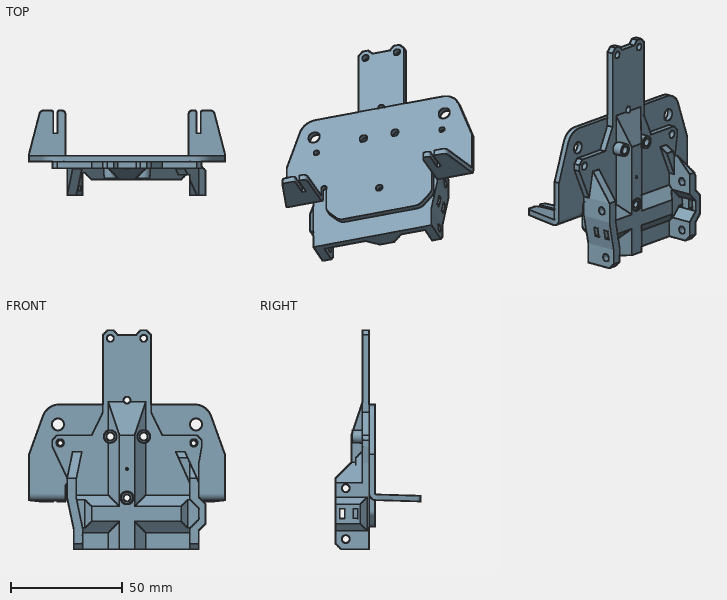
import cadquery as cq
import math


SCREW_X = 7.5
UPPER_SCREW_Z = 50.6
UPPER_SCREWS = [(-SCREW_X, UPPER_SCREW_Z), (SCREW_X, UPPER_SCREW_Z)]
UPPER_SCREW_DIA = 3.5
LOWER_SCREW = (0, 23.1)
LOWER_SCREW_DIA = 3.0

FRAME_T = 3.0
HEIGHT = 98.3
MAST_HALF_W = 10.8
MAST_BASE_Z = 61.4
EAR_CHAMFER = 2.1
EAR_INNER_X = 6.0
MAST_NOTCH_HALF_W = 4.1
MAST_HOLE_DIA = 3.0
MAST_HOLE_Z = 94.6
CENTRE_HOLE_DIA = 2.9
CENTRE_HOLE_Z = 66.9
PEEP_HOLE_DIA = 1.0
PEEP_HOLE_Z = 36.1
LUG_HALF_W = 33.5
LUG_TOP_Z = 51.2
LUG_SIDE_Z = 46.2
LUG_INNER_X = 15.8
LUG_CHAMFER = 2.2
LUG_HOLE = (30.0, 47.8)
LUG_HOLE_DIA = 3.4

RIB_RISE = 5.0
RIB_FRONT_Y = -(FRAME_T + RIB_RISE)
RIB_CREST_W = 6.8
RIB_HALF_CREST = RIB_CREST_W / 2
RIB_HALF_BASE = RIB_HALF_CREST + RIB_RISE
RIB_TOP_Z = 66.1
RIB_RAMP_Z = 51.2
CROSS_Z = 15.9
CROSS_END_DROP = 2.9
CROSS_LEFT_X = -15.9
CROSS_RIGHT_X = 24.3
CROSS_SHELF_Y = RIB_FRONT_Y + CROSS_END_DROP

BOSS_BASE_DIA = 5.9
BOSS_TIP_DIA = 5.6
BOSS_TIP_Y = -7.6
LOWER_SEAT_DIA = 5.2

ARM_T = 4.1
ARM_FRONT_Y = -15.1
ARM_SHOULDER_Z = 31.9
ARM_FOOT_CHAMFER = 2.6
BRACE_TOP_Z = 43.8
ARM_HOLE_DIA = 3.4
ARM_HOLE_Y = -10.5
ARM_HOLE_ZS = (4.6, 27.4)
ARM_SLOT_W = 2.2
ARM_SLOT_H = 4.2
ARM_SLOT_Z = 16.0
ARM_SLOT_YS = (CROSS_SHELF_Y - ARM_SLOT_W / 2, -12.1)

LEFT_UPPER_X = -26.8
LEFT_LOWER_X = -24.0
LEFT_BRACE_X = -24.4
LEFT_CRANK_TOP_Z = 22.8
LEFT_CRANK_BOTTOM_Z = 9.2

RIGHT_OUTER_X = 32.2
RIGHT_INNER_X = RIGHT_OUTER_X - ARM_T
RIGHT_BRACE_X = 25.9
RIGHT_BRACE_FOOT_Z = 30.0
RIGHT_BRACE_FRONT_Y = -6.0
RIGHT_STRAIGHT_Z = 38.8
BULGE_OUT = 3.0
BULGE_BACK_Y = -1.0
BULGE_HALF_H = 4.4
POCKET_HALF_H = 2.5

BRACKET_T = 2.7
BRACKET_W = 88.0
BRACKET_HALF_W = BRACKET_W / 2
BRACKET_TOP_Z = 65.1
BRACKET_TOP_CORNER_X = 35.9
BRACKET_SHOULDER_Z = 42.6
BRACKET_CORNER_R = 8.1
BRACKET_HOLE = (31.0, 56.0)
BRACKET_HOLE_DIA = 5.3
BRACKET_LUG_HOLE = (29.9, 47.7)
BRACKET_LUG_HOLE_DIA = 2.5
SKIRT_HALF_W = 25.1
SKIRT_CHAMFER = 6.0
SKIRT_BOTTOM_Z = 10.1
SKIRT_SIDE_R = 3.3
SKIRT_FOOT_R = 5.2

TAB_INNER_X = 27.5
TAB_END_Y = 23.0
TAB_END_OUTER_X = 38.9
TAB_SIDE_Y = 3.4
TAB_TILT = 1.7
BEND_Z = 25.2
BEND_INNER_R = 0.5
BEND_OUTER_R = BEND_INNER_R + BRACKET_T
TAB_SIDE_R = 4.1
TAB_OUTER_END_R = 2.2
TAB_INNER_END_R = 2.0
TAB_SLOT_X = 32.1
TAB_SLOT_W = 1.8
TAB_SLOT_BASE_Y = 12.8
TAB_SLOT_MOUTH_R = 1.2
RELIEF_TOP_Z = 29.5

OVER = 1.0


def prism_y(points, y_front, y_back):
    """Outline of (X, Z) points extruded from y_front to y_back."""
    return cq.Workplane("XZ", origin=(0, y_back, 0)).polyline(points).close().extrude(y_back - y_front)


def prism_x(points, x_min, x_max):
    """Outline of (Y, Z) points extruded from x_min to x_max."""
    return cq.Workplane("YZ", origin=(x_min, 0, 0)).polyline(points).close().extrude(x_max - x_min)


def prism_z(points, z_min, z_max):
    """Outline of (X, Y) points extruded from z_min to z_max."""
    return cq.Workplane("XY", origin=(0, 0, z_min)).polyline(points).close().extrude(z_max - z_min)


def cylinders_y(centres, diameter, y_front, y_back):
    """Cylinders along Y at (X, Z) centres."""
    plane = cq.Workplane("XZ", origin=(0, y_back, 0))
    return plane.pushPoints(centres).circle(diameter / 2).extrude(y_back - y_front)


def cone_y(centre, back_dia, front_dia, y_front, y_back):
    """Cone along Y at an (X, Z) centre."""
    plane = cq.Workplane("XZ", origin=(0, y_back, 0)).center(*centre)
    return plane.circle(back_dia / 2).workplane(offset=y_back - y_front).circle(front_dia / 2).loft()


def both_sides(point):
    """An (X, Z) point and its mirror image across X = 0."""
    x, z = point
    return [(-x, z), (x, z)]



def frame_plate():
    notch_z = HEIGHT - EAR_CHAMFER
    right_upper = [
        (MAST_NOTCH_HALF_W, notch_z),
        (EAR_INNER_X, HEIGHT),
        (MAST_HALF_W - EAR_CHAMFER, HEIGHT),
        (MAST_HALF_W, notch_z),
        (MAST_HALF_W, MAST_BASE_Z),
        (LUG_INNER_X, LUG_TOP_Z),
        (LUG_HALF_W - LUG_CHAMFER, LUG_TOP_Z),
        (LUG_HALF_W, LUG_TOP_Z - LUG_CHAMFER),
        (LUG_HALF_W, LUG_SIDE_Z),
    ]
    right_lower = [
        (RIGHT_OUTER_X, RIGHT_STRAIGHT_Z),
        (RIGHT_OUTER_X, 0),
    ]
    left_lower = [
        (LEFT_LOWER_X, 0),
        (LEFT_LOWER_X, LEFT_CRANK_BOTTOM_Z),
        (LEFT_UPPER_X, LEFT_CRANK_TOP_Z),
        (LEFT_UPPER_X, ARM_SHOULDER_Z),
    ]
    left_upper = [(-x, z) for x, z in reversed(right_upper)]
    return prism_y(right_upper + right_lower + left_lower + left_upper, -FRAME_T, 0)


def upright_rib():
    section = [
        (-RIB_HALF_BASE, -FRAME_T),
        (-RIB_HALF_CREST, RIB_FRONT_Y),
        (RIB_HALF_CREST, RIB_FRONT_Y),
        (RIB_HALF_BASE, -FRAME_T),
    ]
    side = [
        (-FRAME_T, 0),
        (RIB_FRONT_Y, 0),
        (RIB_FRONT_Y, RIB_RAMP_Z),
        (-FRAME_T, RIB_TOP_Z),
    ]
    rib = prism_z(section, 0, RIB_TOP_Z)
    return rib.intersect(prism_x(side, -RIB_HALF_BASE, RIB_HALF_BASE))


def cross_rib():
    left_end = LEFT_LOWER_X + OVER
    right_end = RIGHT_INNER_X + OVER
    section = [
        (-FRAME_T, CROSS_Z - RIB_HALF_BASE),
        (RIB_FRONT_Y, CROSS_Z - RIB_HALF_CREST),
        (RIB_FRONT_Y, CROSS_Z + RIB_HALF_CREST),
        (-FRAME_T, CROSS_Z + RIB_HALF_BASE),
    ]
    plan = [
        (left_end, -FRAME_T),
        (left_end, CROSS_SHELF_Y),
        (CROSS_LEFT_X - CROSS_END_DROP, CROSS_SHELF_Y),
        (CROSS_LEFT_X, RIB_FRONT_Y),
        (CROSS_RIGHT_X, RIB_FRONT_Y),
        (CROSS_RIGHT_X + CROSS_END_DROP, CROSS_SHELF_Y),
        (right_end, CROSS_SHELF_Y),
        (right_end, -FRAME_T),
    ]
    rib = prism_x(section, left_end, right_end)
    return rib.intersect(prism_z(plan, CROSS_Z - RIB_HALF_BASE, CROSS_Z + RIB_HALF_BASE))


def arm_side_profile(x_min, x_max):
    """Side shape shared by both arms: chamfered foot, straight front, 45 degree top."""
    slope_top_z = ARM_SHOULDER_Z - ARM_FRONT_Y
    profile = [
        (0, 0),
        (ARM_FRONT_Y + ARM_FOOT_CHAMFER, 0),
        (ARM_FRONT_Y, ARM_FOOT_CHAMFER),
        (ARM_FRONT_Y, ARM_SHOULDER_Z),
        (0, slope_top_z),
    ]
    return prism_x(profile, x_min, x_max)


def arm_openings(x_min, x_max):
    """Screw holes and strap slots that cross an arm along X."""
    hole_centres = [(ARM_HOLE_Y, z) for z in ARM_HOLE_ZS]
    slot_centres = [(y, ARM_SLOT_Z) for y in ARM_SLOT_YS]
    openings = cq.Workplane("YZ", origin=(x_min, 0, 0))
    openings = openings.pushPoints(hole_centres).circle(ARM_HOLE_DIA / 2)
    openings = openings.pushPoints(slot_centres).rect(ARM_SLOT_W, ARM_SLOT_H)
    return openings.extrude(x_max - x_min)


def left_arm():
    outer = [
        (LEFT_LOWER_X, 0),
        (LEFT_LOWER_X, LEFT_CRANK_BOTTOM_Z),
        (LEFT_UPPER_X, LEFT_CRANK_TOP_Z),
        (LEFT_UPPER_X, ARM_SHOULDER_Z),
        (LEFT_BRACE_X, BRACE_TOP_Z),
    ]
    inner = [(x + ARM_T, z) for x, z in reversed(outer)]
    x_min = LEFT_UPPER_X - OVER
    x_max = LEFT_LOWER_X + ARM_T + OVER
    arm = prism_y(outer + inner, ARM_FRONT_Y, 0)
    return arm.intersect(arm_side_profile(x_min, x_max)).cut(arm_openings(x_min, x_max))


def right_arm_bulge():
    outer_x = RIGHT_OUTER_X + BULGE_OUT
    root_half_h = BULGE_HALF_H + BULGE_OUT
    front = [
        (RIGHT_INNER_X, CROSS_Z - root_half_h),
        (RIGHT_OUTER_X, CROSS_Z - root_half_h),
        (outer_x, CROSS_Z - BULGE_HALF_H),
        (outer_x, CROSS_Z + BULGE_HALF_H),
        (RIGHT_OUTER_X, CROSS_Z + root_half_h),
        (RIGHT_INNER_X, CROSS_Z + root_half_h),
    ]
    plan = [
        (RIGHT_INNER_X, ARM_FRONT_Y),
        (outer_x, ARM_FRONT_Y),
        (outer_x, BULGE_BACK_Y - BULGE_OUT),
        (RIGHT_OUTER_X, BULGE_BACK_Y),
        (RIGHT_INNER_X, BULGE_BACK_Y),
    ]
    bulge = prism_y(front, ARM_FRONT_Y, BULGE_BACK_Y)
    return bulge.intersect(prism_z(plan, CROSS_Z - root_half_h, CROSS_Z + root_half_h))


def right_arm_pocket():
    """Pocket behind the bulge, open to the front and inward, with 45 degree flanks."""
    mouth_half_h = POCKET_HALF_H + ARM_T
    outline = [
        (RIGHT_INNER_X, CROSS_Z - mouth_half_h),
        (RIGHT_OUTER_X, CROSS_Z - POCKET_HALF_H),
        (RIGHT_OUTER_X, CROSS_Z + POCKET_HALF_H),
        (RIGHT_INNER_X, CROSS_Z + mouth_half_h),
    ]
    return prism_y(outline, ARM_FRONT_Y - OVER, CROSS_SHELF_Y)


def right_arm():
    brace_slope = (RIGHT_OUTER_X - RIGHT_BRACE_X) / (BRACE_TOP_Z - RIGHT_BRACE_FOOT_Z)
    inner_top_z = RIGHT_BRACE_FOOT_Z + ARM_T / brace_slope
    upright = [
        (RIGHT_INNER_X, 0),
        (RIGHT_OUTER_X, 0),
        (RIGHT_OUTER_X, RIGHT_BRACE_FOOT_Z),
        (RIGHT_INNER_X, inner_top_z),
    ]
    brace = [
        (RIGHT_INNER_X, RIGHT_BRACE_FOOT_Z),
        (RIGHT_OUTER_X, RIGHT_BRACE_FOOT_Z),
        (RIGHT_BRACE_X, BRACE_TOP_Z),
        (RIGHT_BRACE_X - ARM_T, BRACE_TOP_Z),
    ]
    x_min = RIGHT_BRACE_X - ARM_T - OVER
    x_max = RIGHT_OUTER_X + BULGE_OUT + OVER
    arm = prism_y(upright, ARM_FRONT_Y, 0).union(prism_y(brace, RIGHT_BRACE_FRONT_Y, 0))
    arm = arm.intersect(arm_side_profile(x_min, x_max)).union(right_arm_bulge())
    return arm.cut(right_arm_pocket()).cut(arm_openings(RIGHT_INNER_X - OVER, x_max))


def frame_holes():
    y_front = RIB_FRONT_Y - OVER
    hole_groups = [
        (both_sides((SCREW_X, MAST_HOLE_Z)), MAST_HOLE_DIA),
        ([(0, CENTRE_HOLE_Z)], CENTRE_HOLE_DIA),
        ([(0, PEEP_HOLE_Z)], PEEP_HOLE_DIA),
        (both_sides(LUG_HOLE), LUG_HOLE_DIA),
        (UPPER_SCREWS, UPPER_SCREW_DIA),
        ([LOWER_SCREW], LOWER_SCREW_DIA),
    ]
    cutter = cone_y(LOWER_SCREW, LOWER_SEAT_DIA, BOSS_BASE_DIA, RIB_FRONT_Y, BOSS_TIP_Y)
    for centres, diameter in hole_groups:
        cutter = cutter.union(cylinders_y(centres, diameter, y_front, OVER))
    return cutter


def make_frame():
    frame = frame_plate().union(upright_rib()).union(cross_rib())
    frame = frame.union(left_arm()).union(right_arm())
    for centre in UPPER_SCREWS:
        frame = frame.union(cone_y(centre, BOSS_BASE_DIA, BOSS_TIP_DIA, BOSS_TIP_Y, -FRAME_T))
    return frame.cut(frame_holes())



def bracket_wing_plate():
    outline = [
        (-BRACKET_HALF_W, BEND_Z),
        (-BRACKET_HALF_W, BRACKET_SHOULDER_Z),
        (-BRACKET_TOP_CORNER_X, BRACKET_TOP_Z),
        (BRACKET_TOP_CORNER_X, BRACKET_TOP_Z),
        (BRACKET_HALF_W, BRACKET_SHOULDER_Z),
        (BRACKET_HALF_W, BEND_Z),
    ]
    plate = prism_y(outline, 0, BRACKET_T)
    return plate.edges("|Y").edges(">Z").fillet(BRACKET_CORNER_R)


def bracket_skirt():
    side_z = SKIRT_BOTTOM_Z + SKIRT_CHAMFER
    foot_half_w = SKIRT_HALF_W - SKIRT_CHAMFER
    outline = [
        (-SKIRT_HALF_W, BEND_Z),
        (-SKIRT_HALF_W, side_z),
        (-foot_half_w, SKIRT_BOTTOM_Z),
        (foot_half_w, SKIRT_BOTTOM_Z),
        (SKIRT_HALF_W, side_z),
        (SKIRT_HALF_W, BEND_Z),
    ]
    skirt = prism_y(outline, 0, BRACKET_T)
    skirt = skirt.edges("|Y").edges("<Z").fillet(SKIRT_FOOT_R)
    side_corners = skirt.edges("|Y").edges("<X or >X").edges("<Z")
    return side_corners.fillet(SKIRT_SIDE_R)


def bend_relief():
    """Round-topped slot between the right tab and the skirt."""
    width = TAB_INNER_X - SKIRT_HALF_W
    centre_x = (TAB_INNER_X + SKIRT_HALF_W) / 2
    arc_z = RELIEF_TOP_Z - width / 2
    outline = (
        cq.Workplane("XZ", origin=(0, BRACKET_T, 0))
        .moveTo(SKIRT_HALF_W, BEND_Z)
        .lineTo(SKIRT_HALF_W, arc_z)
        .threePointArc((centre_x, RELIEF_TOP_Z), (TAB_INNER_X, arc_z))
        .lineTo(TAB_INNER_X, BEND_Z)
        .close()
    )
    return outline.extrude(BRACKET_T)


def tab_strip():
    """Bend and tab at full width, extruded along X from the side profile."""
    tilt = math.radians(TAB_TILT)
    half_turn = (math.pi / 2 + tilt) / 2
    length = (TAB_END_Y - BEND_OUTER_R + BEND_INNER_R * math.sin(tilt)) / math.cos(tilt)

    def on_bend(radius, turn):
        return (BEND_OUTER_R - radius * math.cos(turn), BEND_Z - radius * math.sin(turn))

    def tab_end(radius):
        y, z = on_bend(radius, 2 * half_turn)
        return (y + length * math.cos(tilt), z - length * math.sin(tilt))

    profile = (
        cq.Workplane("YZ", origin=(TAB_INNER_X, 0, 0))
        .moveTo(*on_bend(BEND_OUTER_R, 0))
        .threePointArc(on_bend(BEND_OUTER_R, half_turn), on_bend(BEND_OUTER_R, 2 * half_turn))
        .lineTo(*tab_end(BEND_OUTER_R))
        .lineTo(*tab_end(BEND_INNER_R))
        .lineTo(*on_bend(BEND_INNER_R, 2 * half_turn))
        .threePointArc(on_bend(BEND_INNER_R, half_turn), on_bend(BEND_INNER_R, 0))
        .close()
    )
    return profile.extrude(BRACKET_HALF_W - TAB_INNER_X)


def tab_plan():
    """Plan shape of the right tab: tapered outer side, open slot and rounded corners."""
    slot_inner_x = TAB_SLOT_X - TAB_SLOT_W / 2
    slot_outer_x = TAB_SLOT_X + TAB_SLOT_W / 2
    outline = [
        (TAB_INNER_X, 0),
        (BRACKET_HALF_W, 0),
        (BRACKET_HALF_W, TAB_SIDE_Y),
        (TAB_END_OUTER_X, TAB_END_Y),
        (slot_outer_x, TAB_END_Y),
        (slot_outer_x, TAB_SLOT_BASE_Y),
        (slot_inner_x, TAB_SLOT_BASE_Y),
        (slot_inner_x, TAB_END_Y),
        (TAB_INNER_X, TAB_END_Y),
    ]
    corner_radii = [
        ((BRACKET_HALF_W, TAB_SIDE_Y), TAB_SIDE_R),
        ((TAB_END_OUTER_X, TAB_END_Y), TAB_OUTER_END_R),
        ((slot_outer_x, TAB_END_Y), TAB_SLOT_MOUTH_R),
        ((slot_inner_x, TAB_END_Y), TAB_SLOT_MOUTH_R),
        ((TAB_INNER_X, TAB_END_Y), TAB_INNER_END_R),
    ]
    plan = prism_z(outline, 0, BEND_Z)
    for (x, y), radius in corner_radii:
        plan = plan.edges(cq.selectors.NearestToPointSelector((x, y, BEND_Z / 2))).fillet(radius)
    return plan


def make_bracket():
    tab = tab_strip().intersect(tab_plan())
    relief = bend_relief()
    bracket = bracket_wing_plate().union(bracket_skirt())
    bracket = bracket.union(tab).union(tab.mirror("YZ"))
    bracket = bracket.cut(relief).cut(relief.mirror("YZ"))
    hole_groups = [
        (both_sides(BRACKET_HOLE), BRACKET_HOLE_DIA),
        (both_sides(BRACKET_LUG_HOLE), BRACKET_LUG_HOLE_DIA),
        (UPPER_SCREWS, UPPER_SCREW_DIA),
        ([LOWER_SCREW], LOWER_SCREW_DIA),
    ]
    for centres, diameter in hole_groups:
        bracket = bracket.cut(cylinders_y(centres, diameter, -OVER, BRACKET_T + OVER))
    return bracket


frame = make_frame()
bracket = make_bracket()

result = cq.Compound.makeCompound([frame.val(), bracket.val()])